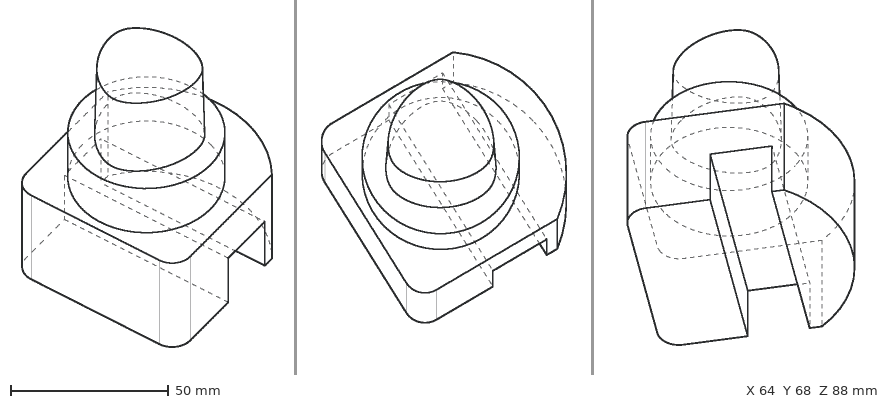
import cadquery as cq
import math

base_width = 64.0
base_height = 38.0
front_distance = 28.0
back_radius = 39.95
corner_radius = 7.0

slot_width = 20.0
slot_height = 20.0

collar_diameter = 50.0
collar_height = 20.0

total_height = 88.0
post_bottom_width = 35.0
post_top_width = 33.6
lobe_eccentricity = 1.1
curve_points = 48

half_width = base_width / 2
collar_top = base_height + collar_height
post_height = total_height - collar_top


def make_base():
    back_corner_y = math.sqrt(back_radius**2 - half_width**2)
    block = (
        cq.Workplane("XY")
        .moveTo(-half_width, -front_distance)
        .lineTo(half_width, -front_distance)
        .lineTo(half_width, back_corner_y)
        .threePointArc((0, back_radius), (-half_width, back_corner_y))
        .close()
        .extrude(base_height)
    )
    block = block.edges("|Z and <Y").fillet(corner_radius)
    slot = cq.Workplane("XY").box(
        base_width, slot_width, slot_height, centered=(True, False, False)
    )
    return block.cut(slot)


def make_collar():
    return (
        cq.Workplane("XY")
        .workplane(offset=base_height)
        .circle(collar_diameter / 2)
        .extrude(collar_height)
    )


def lobed_point(angle, width):
    """Point on the curve whose tangent has its normal at the given angle."""
    distance = width / 2 + lobe_eccentricity * math.sin(3 * angle)
    slope = 3 * lobe_eccentricity * math.cos(3 * angle)
    x = distance * math.cos(angle) - slope * math.sin(angle)
    y = distance * math.sin(angle) + slope * math.cos(angle)
    return (x, y)


def lobed_outline(width):
    step = 2 * math.pi / curve_points
    return [lobed_point(i * step, width) for i in range(curve_points)]


def make_post():
    return (
        cq.Workplane("XY")
        .workplane(offset=collar_top)
        .spline(lobed_outline(post_bottom_width), periodic=True)
        .close()
        .workplane(offset=post_height)
        .spline(lobed_outline(post_top_width), periodic=True)
        .close()
        .loft(ruled=True, combine=True)
    )


result = make_base().union(make_collar()).union(make_post())